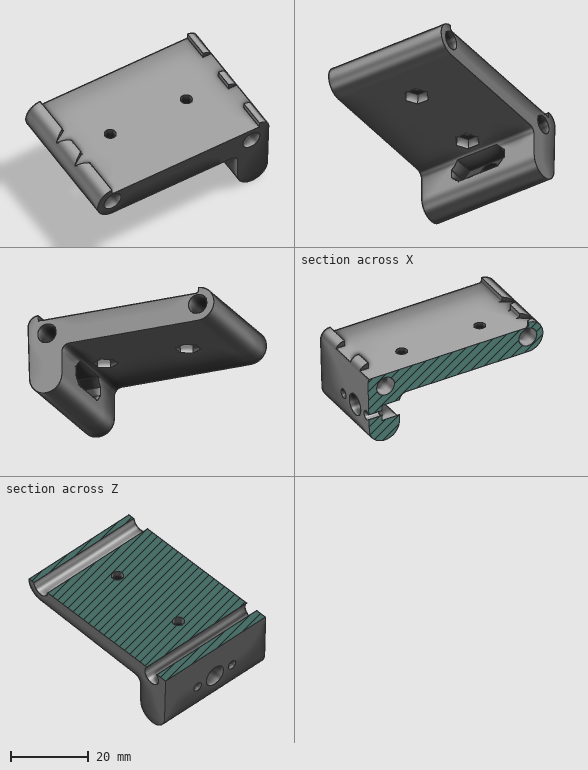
import cadquery as cq
import math

WIDTH = 35.0
TILT = 1.65
CUT_MARGIN = 1.0

NOSE_RADIUS = 4.5
FLOOR_Z = 3.0
UNDERSIDE_Z = -NOSE_RADIUS

PIN_DIAMETER = 5.1
REAR_PIN_Y = 41.95
REAR_PIN_Z = -0.75

LEG_TIP_RADIUS = 4.5
LEG_TIP_Y = 42.65
LEG_TIP_Z = -12.51
LEG_BACK_Y = LEG_TIP_Y + LEG_TIP_RADIUS
CORNER_RADIUS = 2.15

FRONT_LIP_Y = -0.3
FRONT_LIP_FILLET = 0.7
NOTCH_OFFSET = 4.5
NOTCH_TIP_Y = -3.5
NOTCH_SLOPE = 0.68
NOTCH_INNER_LIMIT = 2.35

REAR_LIP_RADIUS = 2.9
REAR_LIP_TOP_Z = 4.5
REAR_LIP_Y = LEG_BACK_Y - REAR_LIP_RADIUS
GAP_INNER_X = 2.5
GAP_WIDTH = 7.4

SCREW_DIAMETER = 3.0
NUT_WIDTH = 6.6
NUT_DEPTH = 3.0
NUT_SIDES = 6
FIRST_SCREW_Y = 10.1
SCREW_SPACING = 23.0

POCKET_Z = -8.5
POCKET_WIDTH = 16.4
POCKET_HEIGHT = 6.45
POCKET_CHAMFER = 2.1
POCKET_DEPTH = 5.0
CENTRE_HOLE_DIAMETER = 6.0
SIDE_HOLE_DIAMETER = 2.6
SIDE_HOLE_OFFSET = 6.0

lean = math.radians(TILT)
leg_front_tip_y = LEG_TIP_Y - LEG_TIP_RADIUS * math.cos(lean)
leg_front_tip_z = LEG_TIP_Z - LEG_TIP_RADIUS * math.sin(lean)
leg_front_top_y = leg_front_tip_y - (UNDERSIDE_Z - leg_front_tip_z) * math.tan(lean)


def make_body():
    """Side outline of arm, leg and both lips, extruded across the width."""
    front_lip_top_z = math.sqrt(NOSE_RADIUS**2 - FRONT_LIP_Y**2)
    rear_arc_z = REAR_LIP_TOP_Z - REAR_LIP_RADIUS
    rear_arc_reach = REAR_LIP_RADIUS * math.sqrt(0.5)
    body = (
        cq.Workplane("YZ")
        .moveTo(FRONT_LIP_Y, front_lip_top_z)
        .threePointArc((-NOSE_RADIUS, 0), (0, UNDERSIDE_Z))
        .lineTo(leg_front_top_y, UNDERSIDE_Z)
        .lineTo(leg_front_tip_y, leg_front_tip_z)
        .threePointArc((LEG_TIP_Y, LEG_TIP_Z - LEG_TIP_RADIUS), (LEG_BACK_Y, LEG_TIP_Z))
        .lineTo(LEG_BACK_Y, rear_arc_z)
        .threePointArc(
            (REAR_LIP_Y + rear_arc_reach, rear_arc_z + rear_arc_reach),
            (REAR_LIP_Y, REAR_LIP_TOP_Z),
        )
        .lineTo(REAR_LIP_Y, FLOOR_Z)
        .lineTo(FRONT_LIP_Y, FLOOR_Z)
        .close()
        .extrude(WIDTH / 2, both=True)
    )
    body = fillet_edge_at(body, leg_front_top_y, UNDERSIDE_Z, CORNER_RADIUS)
    return fillet_edge_at(body, FRONT_LIP_Y, FLOOR_Z, FRONT_LIP_FILLET)


def fillet_edge_at(body, y, z, radius):
    """Round the widthwise edge that passes through (y, z)."""
    return body.edges(cq.selectors.NearestToPointSelector((0, y, z))).fillet(radius)


def cut_pin_holes(body):
    pins = (
        cq.Workplane("YZ")
        .pushPoints([(0, 0), (REAR_PIN_Y, REAR_PIN_Z)])
        .circle(PIN_DIAMETER / 2)
        .extrude(WIDTH / 2 + CUT_MARGIN, both=True)
    )
    return body.cut(pins)


def cut_front_notches(body):
    """Two V notches down to the floor, flared towards the arm on their outer side.

    The inner side runs straight back once it reaches its width limit.
    """
    fillet_end_y = FRONT_LIP_Y + FRONT_LIP_FILLET
    inner_x = NOTCH_OFFSET - NOTCH_INNER_LIMIT
    inner_limit_y = NOTCH_TIP_Y + NOTCH_INNER_LIMIT / NOTCH_SLOPE
    outer_half_width = NOTCH_SLOPE * (fillet_end_y - NOTCH_TIP_Y)
    for side in (-1, 1):
        notch = (
            cq.Workplane("XY")
            .workplane(offset=FLOOR_Z)
            .moveTo(side * NOTCH_OFFSET, NOTCH_TIP_Y)
            .lineTo(side * (NOTCH_OFFSET + outer_half_width), fillet_end_y)
            .lineTo(side * inner_x, fillet_end_y)
            .lineTo(side * inner_x, inner_limit_y)
            .close()
            .extrude(NOSE_RADIUS)
        )
        body = body.cut(notch)
    return body


def cut_rear_gaps(body):
    gap_centre_x = GAP_INNER_X + GAP_WIDTH / 2
    gap_length = REAR_LIP_RADIUS + CUT_MARGIN
    gaps = (
        cq.Workplane("XY")
        .workplane(offset=FLOOR_Z)
        .pushPoints([(side * gap_centre_x, REAR_LIP_Y + gap_length / 2) for side in (-1, 1)])
        .rect(GAP_WIDTH, gap_length)
        .extrude(REAR_LIP_TOP_Z)
    )
    return body.cut(gaps)


def cut_screw_holes(body):
    centres = [(0, FIRST_SCREW_Y + i * SCREW_SPACING) for i in range(2)]
    underside = cq.Workplane("XY").workplane(offset=UNDERSIDE_Z).pushPoints(centres)
    shanks = underside.circle(SCREW_DIAMETER / 2).extrude(FLOOR_Z - UNDERSIDE_Z + CUT_MARGIN)
    nuts = underside.polygon(NUT_SIDES, NUT_WIDTH).extrude(NUT_DEPTH)
    return body.cut(shanks).cut(nuts)


def cut_leg_openings(body):
    """Pocket in the front face of the leg and three holes through to its back."""
    pocket_floor_y = leg_front_tip_y + POCKET_DEPTH
    pocket_floor = cq.Workplane("XZ", origin=(0, pocket_floor_y, POCKET_Z))
    pocket = (
        pocket_floor.rect(POCKET_WIDTH, POCKET_HEIGHT)
        .extrude(POCKET_DEPTH + CORNER_RADIUS)
        .edges("|Y")
        .chamfer(POCKET_CHAMFER)
    )
    hole_length = LEG_BACK_Y - pocket_floor_y + CUT_MARGIN
    centre_hole = pocket_floor.circle(CENTRE_HOLE_DIAMETER / 2).extrude(-hole_length)
    side_holes = (
        pocket_floor.pushPoints([(-SIDE_HOLE_OFFSET, 0), (SIDE_HOLE_OFFSET, 0)])
        .circle(SIDE_HOLE_DIAMETER / 2)
        .extrude(-hole_length)
    )
    return body.cut(pocket).cut(centre_hole).cut(side_holes)


bracket = make_body()
bracket = cut_pin_holes(bracket)
bracket = cut_front_notches(bracket)
bracket = cut_rear_gaps(bracket)
bracket = cut_screw_holes(bracket)
bracket = cut_leg_openings(bracket)

result = bracket.rotate((0, 0, 0), (1, 0, 0), -TILT)